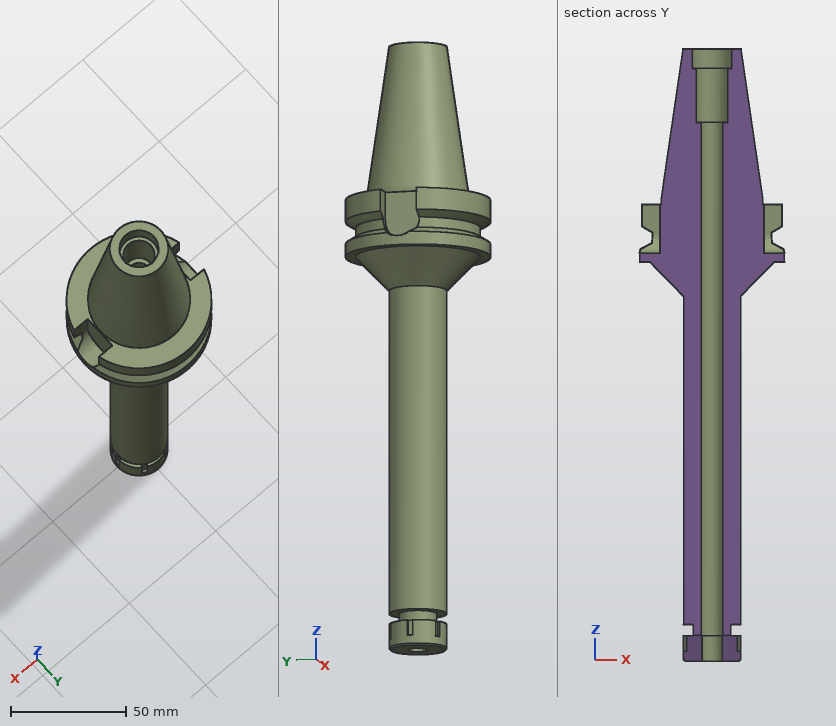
import cadquery as cq

TOTAL_HEIGHT = 265.5
NUT_TOP = 11.1
SHANK_BOTTOM = 16.0
CONE_BOTTOM = 158.2
FLANGE_BOTTOM = 173.0
FLANGE_TOP = 198.0
TAPER_BASE_HEIGHT = 2.0
TAPER_BOTTOM = FLANGE_TOP + TAPER_BASE_HEIGHT

TAPER_RATIO = 7 / 24
GAUGE_RADIUS = 44.3 / 2
TAPER_TOP_RADIUS = GAUGE_RADIUS - (TOTAL_HEIGHT - TAPER_BOTTOM) * TAPER_RATIO / 2

FLANGE_RADIUS = 63.0 / 2
LOWER_RIM_HEIGHT = 5.5
UPPER_RIM_HEIGHT = 9.5
GROOVE_FLOOR_RADIUS = 27.0
GROOVE_FLANK_HEIGHT = 2.7
GROOVE_BOTTOM = FLANGE_BOTTOM + LOWER_RIM_HEIGHT
GROOVE_TOP = FLANGE_TOP - UPPER_RIM_HEIGHT

DRIVE_SLOT_WIDTH = 16.2
DRIVE_SLOT_HEIGHT = 21.0
DRIVE_SLOT_FLOOR = 22.5

CONE_TOP_RADIUS = 27.0
SHANK_RADIUS = 25.0 / 2
NECK_RADIUS = 8.2

COUNTERBORE_RADIUS = 17.0 / 2
COUNTERBORE_DEPTH = 8.5
DRAWBAR_HOLE_RADIUS = 13.5 / 2
DRAWBAR_HOLE_DEPTH = 31.8
HOLDER_BORE_RADIUS = 9.3 / 2

NUT_RADIUS = SHANK_RADIUS
NUT_BORE_RADIUS = 8.5 / 2
NUT_CHAMFER = 0.8
SPANNER_SLOT_COUNT = 6
SPANNER_SLOT_WIDTH = 2.5
SPANNER_SLOT_HEIGHT = 6.6
SPANNER_SLOT_DEPTH = 1.3


def cylinder(radius, bottom, top):
    """Vertical cylinder on the Z axis."""
    return cq.Workplane("XY").workplane(offset=bottom).circle(radius).extrude(top - bottom)


def holder_blank():
    """Revolved outside of the holder, without bore or slots."""
    profile = [
        (0, NUT_TOP),
        (NECK_RADIUS, NUT_TOP),
        (NECK_RADIUS, SHANK_BOTTOM),
        (SHANK_RADIUS, SHANK_BOTTOM),
        (SHANK_RADIUS, CONE_BOTTOM),
        (CONE_TOP_RADIUS, FLANGE_BOTTOM),
        (FLANGE_RADIUS, FLANGE_BOTTOM),
        (FLANGE_RADIUS, GROOVE_BOTTOM),
        (GROOVE_FLOOR_RADIUS, GROOVE_BOTTOM + GROOVE_FLANK_HEIGHT),
        (GROOVE_FLOOR_RADIUS, GROOVE_TOP - GROOVE_FLANK_HEIGHT),
        (FLANGE_RADIUS, GROOVE_TOP),
        (FLANGE_RADIUS, FLANGE_TOP),
        (GAUGE_RADIUS, FLANGE_TOP),
        (GAUGE_RADIUS, TAPER_BOTTOM),
        (TAPER_TOP_RADIUS, TOTAL_HEIGHT),
        (0, TOTAL_HEIGHT),
    ]
    return cq.Workplane("XZ").polyline(profile).close().revolve(360, (0, 0), (0, 1))


def holder_bore():
    """Through bore with two wider steps at the tapered end."""
    bore = cylinder(HOLDER_BORE_RADIUS, NUT_TOP, TOTAL_HEIGHT)
    bore = bore.union(cylinder(DRAWBAR_HOLE_RADIUS, TOTAL_HEIGHT - DRAWBAR_HOLE_DEPTH, TOTAL_HEIGHT))
    return bore.union(cylinder(COUNTERBORE_RADIUS, TOTAL_HEIGHT - COUNTERBORE_DEPTH, TOTAL_HEIGHT))


def drive_slot(angle):
    """Cutter for one drive slot, open at the flange top and rim."""
    half_width = DRIVE_SLOT_WIDTH / 2
    slot_bottom = FLANGE_TOP - DRIVE_SLOT_HEIGHT
    arc_center = slot_bottom + half_width
    cutter = (
        cq.Workplane("YZ")
        .workplane(offset=DRIVE_SLOT_FLOOR)
        .moveTo(-half_width, FLANGE_TOP)
        .lineTo(-half_width, arc_center)
        .threePointArc((0, slot_bottom), (half_width, arc_center))
        .lineTo(half_width, FLANGE_TOP)
        .close()
        .extrude(FLANGE_RADIUS - DRIVE_SLOT_FLOOR)
    )
    return cutter.rotate((0, 0, 0), (0, 0, 1), angle)


def make_holder():
    holder = holder_blank().cut(holder_bore())
    for angle in (0, 180):
        holder = holder.cut(drive_slot(angle))
    return holder


def spanner_slot(angle):
    """Cutter for one spanner slot, open at the nut top and side."""
    floor_radius = NUT_RADIUS - SPANNER_SLOT_DEPTH
    cutter = cq.Workplane("XY").box(
        NUT_RADIUS - floor_radius, SPANNER_SLOT_WIDTH, SPANNER_SLOT_HEIGHT, centered=(False, True, False)
    )
    cutter = cutter.translate((floor_radius, 0, NUT_TOP - SPANNER_SLOT_HEIGHT))
    return cutter.rotate((0, 0, 0), (0, 0, 1), angle)


def make_clamping_nut():
    nut = cylinder(NUT_RADIUS, 0, NUT_TOP).faces("<Z").edges().chamfer(NUT_CHAMFER)
    nut = nut.cut(cylinder(NUT_BORE_RADIUS, 0, NUT_TOP))
    for index in range(SPANNER_SLOT_COUNT):
        nut = nut.cut(spanner_slot(index * 360 / SPANNER_SLOT_COUNT))
    return nut


holder = make_holder()
clamping_nut = make_clamping_nut()

result = cq.Compound.makeCompound([holder.val(), clamping_nut.val()])